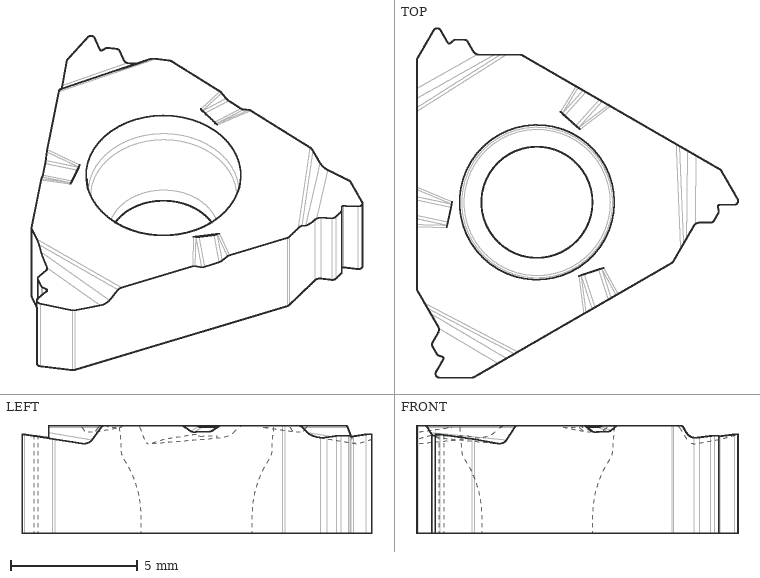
import cadquery as cq
import math


TOOTH_COUNT = 3
TOOTH_PITCH = 360 / TOOTH_COUNT
TOOTH_ANGLES = [index * TOOTH_PITCH for index in range(TOOTH_COUNT)]

THICKNESS = 4.28
INSCRIBED_RADIUS = 9.525 / 2
BODY_CORNER_RADIUS = 0.2

FLANK_NORMAL = 30
FLANK_DISTANCE = 6.9615
RELIEF_NORMAL = -30
RELIEF_DISTANCE = 5.86
TIP_RADIUS = 0.16
TIP_EDGE_Y = -0.105
STEP_ROOT_X = 7.17
STEP_ROOT_RADIUS = 0.06
STEP_CREST = (7.225, -0.385)
STEP_CREST_RADIUS = 0.1
STEP_FLANK_ANGLE = 60
STEP_EDGE_Y = -0.81
STEP_SHOULDER_RADIUS = 0.17
RELIEF_RADIUS = 0.25

GROOVE_CORNER_X = 6.06
GROOVE_DEPTH = 0.586
GROOVE_WALL_ANGLE = 58
GROOVE_FLOOR_ANGLE = 7.4
GROOVE_YAW = 0.6
GROOVE_PITCH = 4.8
GROOVE_FILLET = 0.35
GROOVE_RIM_FILLET = 0.15

NOTCH_CENTRE_Y = -0.21
NOTCH_DEPTH = 0.25
NOTCH_FLOOR_WIDTH = 0.74
NOTCH_WALL_RUN = 1.4
NOTCH_LENGTH = 1.35
NOTCH_SKEW = 12
NOTCH_RISE = 0.135
NOTCH_FILLET = 0.22
NOTCH_RIM_FILLET = 0.15

BORE_RADIUS = 4.4 / 2
RIM_RADIUS = 3.07
SEAT_WALL_RADIUS = 2.99
SEAT_WALL_DEPTH = 1.02
SEAT_RADIUS = 2.9
SEAT_DEPTH = 1.29
SEAT_CURVE_RADIUS = 4.13

CLEARANCE = 1.0
GROOVE_REACH = 4.0


def rotate_point(point, angle):
    """Turn a 2D point about the hole axis."""
    turn = math.radians(angle)
    x, y = point
    return (
        x * math.cos(turn) - y * math.sin(turn),
        x * math.sin(turn) + y * math.cos(turn),
    )


def line_crossing(normal_1, distance_1, normal_2, distance_2):
    """Crossing point of two lines given by normal direction and distance from the axis."""
    a1 = math.radians(normal_1)
    a2 = math.radians(normal_2)
    det = math.sin(a2 - a1)
    x = (distance_1 * math.sin(a2) - distance_2 * math.sin(a1)) / det
    y = (distance_2 * math.cos(a1) - distance_1 * math.cos(a2)) / det
    return (x, y)


def tooth_corners():
    """Sharp corners of one tooth with the radius of each, from the leading to the trailing side."""
    half_pitch = TOOTH_PITCH / 2
    crest_x, crest_y = STEP_CREST
    shoulder_run = (crest_y - STEP_EDGE_Y) / math.tan(math.radians(STEP_FLANK_ANGLE))
    lead = line_crossing(half_pitch, INSCRIBED_RADIUS, FLANK_NORMAL, FLANK_DISTANCE)
    tip = line_crossing(FLANK_NORMAL, FLANK_DISTANCE, -90, -TIP_EDGE_Y)
    relief = line_crossing(RELIEF_NORMAL, RELIEF_DISTANCE, -90, -STEP_EDGE_Y)
    trail = line_crossing(RELIEF_NORMAL, RELIEF_DISTANCE, -half_pitch, INSCRIBED_RADIUS)
    return [
        (lead, BODY_CORNER_RADIUS),
        (tip, TIP_RADIUS),
        ((STEP_ROOT_X, TIP_EDGE_Y), STEP_ROOT_RADIUS),
        (STEP_CREST, STEP_CREST_RADIUS),
        ((crest_x - shoulder_run, STEP_EDGE_Y), STEP_SHOULDER_RADIUS),
        (relief, RELIEF_RADIUS),
        (trail, BODY_CORNER_RADIUS),
    ]


def corner_arc(before, corner, after, radius):
    """Start, middle and end of the arc that rounds a corner."""
    point = cq.Vector(*corner)
    to_before = (cq.Vector(*before) - point).normalized()
    to_after = (cq.Vector(*after) - point).normalized()
    half_angle = to_before.getAngle(to_after) / 2
    setback = radius / math.tan(half_angle)
    bisector = (to_before + to_after).normalized()
    middle = point + bisector * (radius / math.sin(half_angle) - radius)
    return point + to_before * setback, middle, point + to_after * setback


def make_body():
    """Plain plate with the three-tooth outline."""
    corners = [
        (rotate_point(point, -angle), radius)
        for angle in TOOTH_ANGLES
        for point, radius in tooth_corners()
    ]
    count = len(corners)
    arcs = [
        corner_arc(corners[i - 1][0], corners[i][0], corners[(i + 1) % count][0], corners[i][1])
        for i in range(count)
    ]
    last_end = arcs[-1][2]
    outline = cq.Workplane("XY").moveTo(last_end.x, last_end.y)
    for start, middle, end in arcs:
        outline = outline.lineTo(start.x, start.y)
        outline = outline.threePointArc((middle.x, middle.y), (end.x, end.y))
    return outline.close().extrude(-THICKNESS)


def groove_cutter():
    """Wedge above the rake face, rounded where the rake face meets the groove wall."""
    yaw = math.radians(GROOVE_YAW)
    pitch = math.radians(GROOVE_PITCH)
    across = cq.Vector(math.cos(yaw), -math.sin(yaw), 0)
    along = cq.Vector(math.sin(yaw) * math.cos(pitch), math.cos(yaw) * math.cos(pitch), -math.sin(pitch))
    plane = cq.Plane(origin=(GROOVE_CORNER_X, 0, -GROOVE_DEPTH), xDir=across, normal=along * -1)
    height = GROOVE_DEPTH + CLEARANCE
    wall_run = height / math.tan(math.radians(GROOVE_WALL_ANGLE))
    floor_run = FLANK_DISTANCE + 2 * CLEARANCE - GROOVE_CORNER_X
    floor_rise = floor_run * math.tan(math.radians(GROOVE_FLOOR_ANGLE))
    wedge = (
        cq.Workplane(plane)
        .polyline([(-wall_run, height), (0, 0), (floor_run, floor_rise), (floor_run, height)])
        .close()
        .extrude(GROOVE_REACH, both=True)
    )
    corner = cq.selectors.NearestToPointSelector((GROOVE_CORNER_X, 0, -GROOVE_DEPTH))
    return wedge.edges(corner).fillet(GROOVE_FILLET)


def groove_rim_selector(angle):
    """Picks the edge where a groove wall meets the top face."""
    rim_x = GROOVE_CORNER_X - GROOVE_DEPTH / math.tan(math.radians(GROOVE_WALL_ANGLE))
    x, y = rotate_point((rim_x, 0), angle)
    return cq.selectors.NearestToPointSelector((x, y, 0))


def notch_cutter():
    """Skewed channel in the -X side whose floor climbs toward the hole."""
    skew = math.radians(NOTCH_SKEW)
    inward = cq.Vector(math.cos(skew), -math.sin(skew), NOTCH_RISE)
    across = cq.Vector(math.sin(skew), math.cos(skew), 0)
    mouth = cq.Vector(-INSCRIBED_RADIUS, NOTCH_CENTRE_Y, -NOTCH_DEPTH)
    plane = cq.Plane(origin=mouth - inward * CLEARANCE, xDir=across, normal=inward)
    half_floor = NOTCH_FLOOR_WIDTH / 2
    height = NOTCH_DEPTH + CLEARANCE
    half_top = half_floor + height * NOTCH_WALL_RUN
    channel = (
        cq.Workplane(plane)
        .polyline([(-half_floor, 0), (half_floor, 0), (half_top, height), (-half_top, height)])
        .close()
        .extrude(CLEARANCE + NOTCH_LENGTH)
    )
    return channel.edges(cq.selectors.ParallelDirSelector(inward)).fillet(NOTCH_FILLET)


def notch_rim_selector(side, angle):
    """Picks the edge where a notch side wall meets the top face; side is +1 or -1."""
    skew = math.radians(NOTCH_SKEW)
    run = NOTCH_LENGTH / 2
    depth = NOTCH_DEPTH - run * NOTCH_RISE
    offset = side * (NOTCH_FLOOR_WIDTH / 2 + depth * NOTCH_WALL_RUN)
    x = -INSCRIBED_RADIUS + run * math.cos(skew) + offset * math.sin(skew)
    y = NOTCH_CENTRE_Y - run * math.sin(skew) + offset * math.cos(skew)
    return cq.selectors.NearestToPointSelector((*rotate_point((x, y), angle), 0))


def hole_cutter():
    """Tapered counterbore blending into a flared seat that runs tangent into the bore."""
    seat_angle = math.acos(1 - (SEAT_RADIUS - BORE_RADIUS) / SEAT_CURVE_RADIUS)
    curve_end = SEAT_DEPTH + SEAT_CURVE_RADIUS * math.sin(seat_angle)
    middle_radius = BORE_RADIUS + SEAT_CURVE_RADIUS * (1 - math.cos(seat_angle / 2))
    middle_depth = curve_end - SEAT_CURVE_RADIUS * math.sin(seat_angle / 2)
    return (
        cq.Workplane("XZ")
        .lineTo(RIM_RADIUS, 0)
        .lineTo(SEAT_WALL_RADIUS, -SEAT_WALL_DEPTH)
        .tangentArcPoint((SEAT_RADIUS, -SEAT_DEPTH), relative=False)
        .threePointArc((middle_radius, -middle_depth), (BORE_RADIUS, -curve_end))
        .lineTo(BORE_RADIUS, -THICKNESS)
        .lineTo(0, -THICKNESS)
        .close()
        .revolve()
    )


def cut_around_axis(body, cutter):
    """Remove one copy of a cutter per tooth."""
    for angle in TOOTH_ANGLES:
        body = body.cut(cutter.rotate((0, 0, 0), (0, 0, 1), angle))
    return body


def add_grooves(body):
    """Chip grooves with a rounded upper rim."""
    body = cut_around_axis(body, groove_cutter())
    for angle in TOOTH_ANGLES:
        body = body.edges(groove_rim_selector(angle)).fillet(GROOVE_RIM_FILLET)
    return body


def add_notches(body):
    """Marking notches with rounded rims along both side walls."""
    body = cut_around_axis(body, notch_cutter())
    for angle in TOOTH_ANGLES:
        for side in (1, -1):
            body = body.edges(notch_rim_selector(side, angle)).fillet(NOTCH_RIM_FILLET)
    return body


result = make_body().cut(hole_cutter())
result = add_grooves(result)
result = add_notches(result)